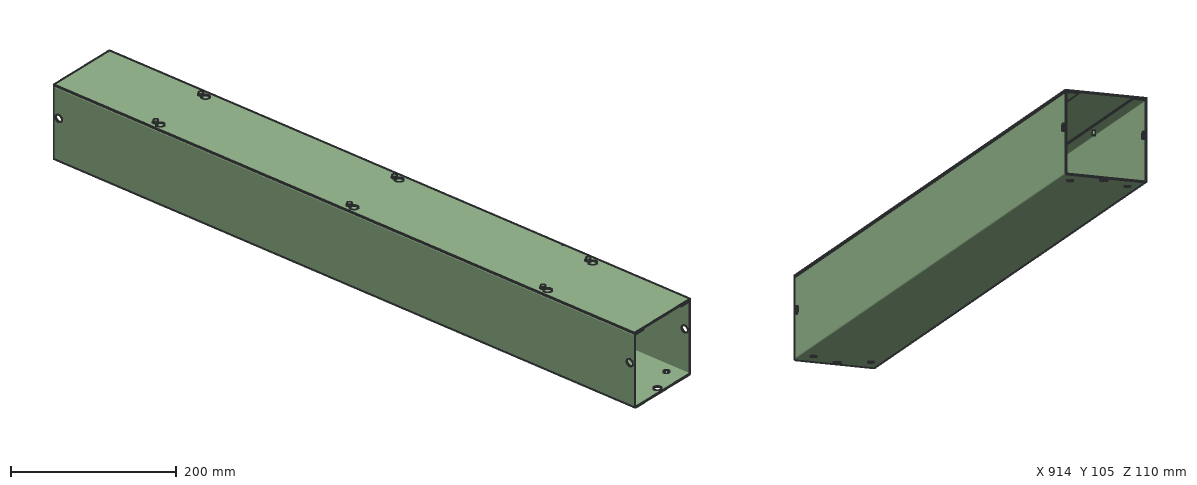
import cadquery as cq
length = 914.0
width = 105.0
overall_height = 110.0
sheet = 1.65

head_diameter = 6.3
head_height = 3.4
shank_diameter = 4.1
shank_length = 9.0
screw_spacing = length / 3
screw_edge_offset = 10.0
screw_y = width / 2 - screw_edge_offset
screw_points = [(x, y) for x in (-screw_spacing, 0, screw_spacing) for y in (-screw_y, screw_y)]

cover_top = overall_height - head_height
trough_height = cover_top - sheet

bend_radius = 2.5
inner_bend_radius = bend_radius - sheet
flange_width = 17.0
end_hole_diameter = 10.0
end_hole_offset = 7.8
wall_hole_height = 61.0
mount_hole_diameter = 8.0
mount_end_offset = 25.0
mount_edge_offset = 16.0

cover_gap = 0.2
cover_length = length - 2 * cover_gap
cover_width = width - 2 * cover_gap
keyhole_diameter = 11.0
keyhole_opening_offset = 7.0
keyhole_slot_width = 5.0
keyhole_slot_offset = -2.3


def plane_at(height):
    """Horizontal work plane at the given height."""
    return cq.Workplane("XY").workplane(offset=height)


def make_channel():
    """C-shaped sheet channel with rounded bends and two inward top flanges."""
    on_floor = (True, True, False)
    inside_height = trough_height - 2 * sheet
    outside = plane_at(0).box(length, width, trough_height, centered=on_floor)
    outside = outside.edges("|X").fillet(bend_radius)
    inside = plane_at(sheet).box(length, width - 2 * sheet, inside_height, centered=on_floor)
    inside = inside.edges("|X").fillet(inner_bend_radius)
    mouth_bottom = trough_height / 2
    mouth = plane_at(mouth_bottom).box(
        length, width - 2 * flange_width, trough_height - mouth_bottom, centered=on_floor
    )
    return outside.cut(inside).cut(mouth)


def make_end_holes():
    """Cutters for the large holes at both ends, through the two walls and the floor."""
    hole_x = length / 2 - end_hole_offset
    radius = end_hole_diameter / 2
    through_walls = (
        cq.Workplane("XZ")
        .pushPoints([(-hole_x, wall_hole_height), (hole_x, wall_hole_height)])
        .circle(radius)
        .extrude(width / 2, both=True)
    )
    through_floor = plane_at(0).pushPoints([(-hole_x, 0), (hole_x, 0)]).circle(radius).extrude(sheet)
    return through_walls.union(through_floor)


def make_mount_holes():
    """Cutters for the four mounting holes near the corners of the floor."""
    return (
        plane_at(0)
        .rect(length - 2 * mount_end_offset, width - 2 * mount_edge_offset, forConstruction=True)
        .vertices()
        .circle(mount_hole_diameter / 2)
        .extrude(sheet)
    )


def make_screw_holes():
    """Cutters for the screw holes through the top flanges."""
    flange_underside = plane_at(trough_height - sheet)
    return flange_underside.pushPoints(screw_points).circle(shank_diameter / 2).extrude(sheet)


def make_trough():
    """Channel with all of its holes."""
    return make_channel().cut(make_end_holes()).cut(make_mount_holes()).cut(make_screw_holes())


def make_keyhole(x, y):
    """Keyhole cutter: a narrow slot around the screw that opens into a round hole towards +X."""
    slot_x = x + keyhole_slot_offset
    opening_x = x + keyhole_opening_offset
    neck_x = (slot_x + opening_x) / 2
    base = plane_at(trough_height)
    slot_end = base.center(slot_x, y).circle(keyhole_slot_width / 2).extrude(sheet)
    neck = base.center(neck_x, y).rect(opening_x - slot_x, keyhole_slot_width).extrude(sheet)
    opening = base.center(opening_x, y).circle(keyhole_diameter / 2).extrude(sheet)
    return slot_end.union(neck).union(opening)


def make_cover():
    """Flat cover on the trough flanges, with a keyhole at every screw."""
    cover = plane_at(trough_height).rect(cover_length, cover_width).extrude(sheet)
    for x, y in screw_points:
        cover = cover.cut(make_keyhole(x, y))
    return cover


def make_screw(x, y):
    """Screw with its head on the cover and its shank through the flange."""
    seat = plane_at(cover_top).center(x, y)
    head = seat.circle(head_diameter / 2).extrude(head_height)
    shank = seat.circle(shank_diameter / 2).extrude(-shank_length)
    return head.union(shank)


trough = make_trough()
cover = make_cover()
screws = [make_screw(x, y) for x, y in screw_points]

result = cq.Compound.makeCompound([trough.val(), cover.val(), *[screw.val() for screw in screws]])